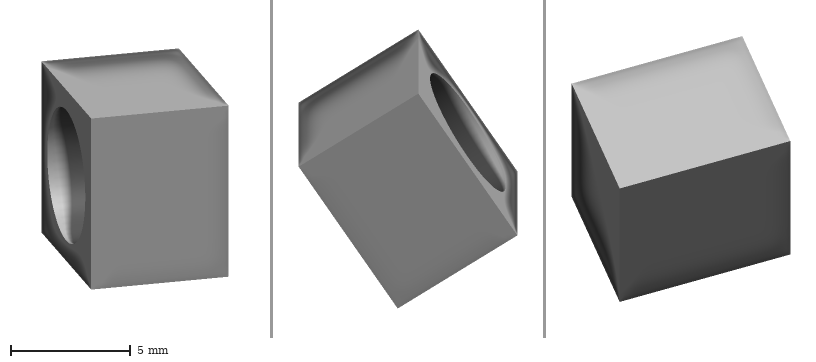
import cadquery as cq

side = 7.6
length = 6.0
bore_diameter = 5.8
floor_thickness = 2.0
bore_depth = length - floor_thickness

block = cq.Workplane("XY").box(side, length, side)

result = block.faces("<Y").workplane().hole(bore_diameter, bore_depth)